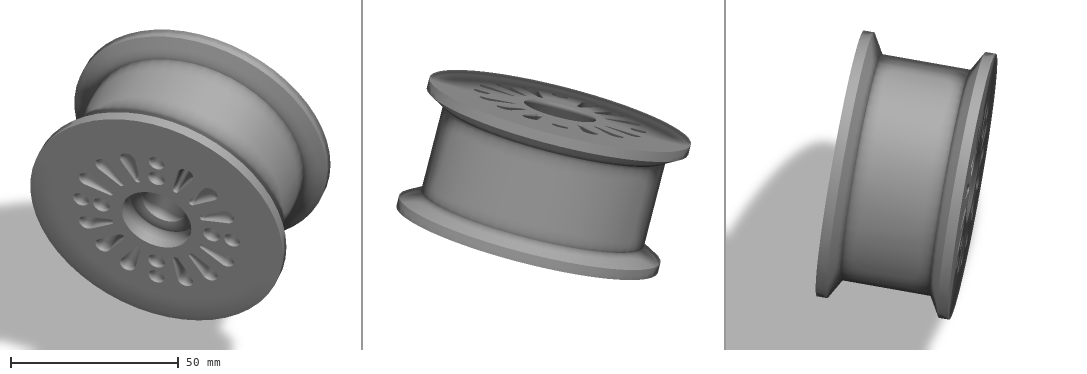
import cadquery as cq
import math

WIDTH = 40.0
FLANGE_RADIUS = 80.4 / 2
BARREL_RADIUS = 68.4 / 2
RIM_WIDTH = 3.1
FLANGE_SLOPE = 30

BORE_DIAMETER = 14.0
SEAT_DIAMETER = 22.2
SEAT_DEPTH = 7.0

RING_RADIUS = 24.0
RING_POSITIONS = 16
HOLES_IN_RING = 4
RING_HOLE_DIAMETER = 5.0
SLOT_INNER_RADIUS = 15.9
SLOT_TIP_RADIUS = 1.0

BLIND_CIRCLE_RADIUS = 17.5
BLIND_DIAMETER = 5.3
BLIND_DEPTH = 24.1
DRILL_POINT_ANGLE = 118
LEDGE_START = 19.5
LEDGE_HEIGHT = 0.8

FRONT = -WIDTH / 2


def front_plane(depth=0):
    """Workplane at a depth below the front face, with its normal along -Y."""
    return cq.Workplane("XZ", origin=(0, FRONT + depth, 0))


def polar(radius, degrees):
    angle = math.radians(degrees)
    return radius * math.cos(angle), radius * math.sin(angle)


def spool_body():
    half = WIDTH / 2
    rim_inside = half - RIM_WIDTH
    slope_width = (FLANGE_RADIUS - BARREL_RADIUS) * math.tan(math.radians(FLANGE_SLOPE))
    barrel_end = rim_inside - slope_width
    profile = [
        (0, -half),
        (FLANGE_RADIUS, -half),
        (FLANGE_RADIUS, -rim_inside),
        (BARREL_RADIUS, -barrel_end),
        (BARREL_RADIUS, barrel_end),
        (FLANGE_RADIUS, rim_inside),
        (FLANGE_RADIUS, half),
        (0, half),
    ]
    return cq.Workplane("XY").polyline(profile).close().revolve(360, (0, 0, 0), (0, 1, 0))


def bore_and_seats():
    bore = front_plane().circle(BORE_DIAMETER / 2).extrude(-WIDTH)
    front_seat = front_plane().circle(SEAT_DIAMETER / 2).extrude(-SEAT_DEPTH)
    back_seat = front_seat.mirror("XZ")
    return bore.union(front_seat).union(back_seat)


def tapered_slot(degrees):
    """Through slot with a large outer end and a small inner end, joined by tangent sides."""
    outer_end = RING_HOLE_DIAMETER / 2
    spacing = RING_RADIUS - SLOT_INNER_RADIUS
    taper = math.asin((outer_end - SLOT_TIP_RADIUS) / spacing)
    along = -math.sin(taper)
    across = math.cos(taper)
    outer_x = RING_RADIUS + outer_end * along
    outer_y = outer_end * across
    inner_x = SLOT_INNER_RADIUS + SLOT_TIP_RADIUS * along
    inner_y = SLOT_TIP_RADIUS * across
    slot = (
        front_plane()
        .moveTo(inner_x, inner_y)
        .lineTo(outer_x, outer_y)
        .threePointArc((RING_RADIUS + outer_end, 0), (outer_x, -outer_y))
        .lineTo(inner_x, -inner_y)
        .threePointArc((SLOT_INNER_RADIUS - SLOT_TIP_RADIUS, 0), (inner_x, inner_y))
        .close()
        .extrude(-WIDTH)
    )
    return slot.rotate((0, 0, 0), (0, 1, 0), degrees)


def ring_hole(degrees):
    centre = polar(RING_RADIUS, degrees)
    return front_plane().center(*centre).circle(RING_HOLE_DIAMETER / 2).extrude(-WIDTH)


def blind_hole(degrees):
    centre = polar(BLIND_CIRCLE_RADIUS, degrees)
    return front_plane().center(*centre).circle(BLIND_DIAMETER / 2).extrude(-BLIND_DEPTH)


def drilled_hole(degrees):
    """Blind hole ending in a conical drill point."""
    radius = BLIND_DIAMETER / 2
    point_depth = radius / math.tan(math.radians(DRILL_POINT_ANGLE / 2))
    x, z = polar(BLIND_CIRCLE_RADIUS, degrees)
    cone_base = cq.Vector(x, FRONT + BLIND_DEPTH, z)
    point = cq.Solid.makeCone(radius, 0, point_depth, cone_base, cq.Vector(0, 1, 0))
    return blind_hole(degrees).union(cq.Workplane(point))


def ledged_hole(degrees):
    """Flat-bottomed blind hole with a low ledge along its outer side."""
    ledge = (
        front_plane(BLIND_DEPTH - LEDGE_HEIGHT)
        .center(LEDGE_START, 0)
        .rect(BLIND_DIAMETER, BLIND_DIAMETER * 2)
        .extrude(-LEDGE_HEIGHT)
        .translate((BLIND_DIAMETER / 2, 0, 0))
        .rotate((0, 0, 0), (0, 1, 0), degrees)
    )
    return blind_hole(degrees).cut(ledge)


result = spool_body().cut(bore_and_seats())

for position in range(RING_POSITIONS):
    ring_angle = position * 360 / RING_POSITIONS
    if position % (RING_POSITIONS // HOLES_IN_RING) == 0:
        result = result.cut(ring_hole(ring_angle))
    else:
        result = result.cut(tapered_slot(ring_angle))

for drilled_angle in (90, 270):
    result = result.cut(drilled_hole(drilled_angle))

for ledged_angle in (0, 180):
    result = result.cut(ledged_hole(ledged_angle))